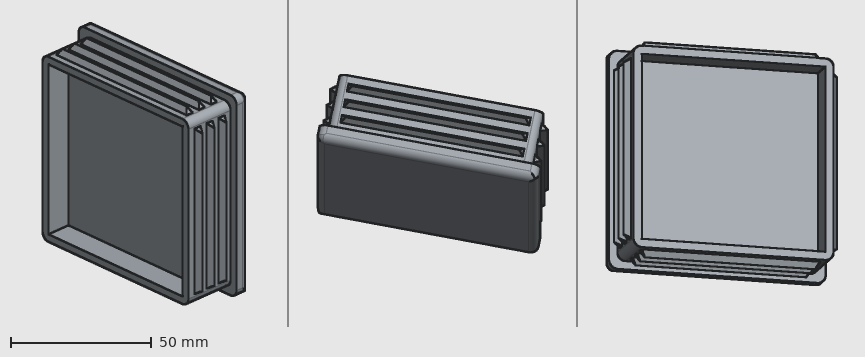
import cadquery as cq

cap_side = 80.0
total_depth = 27.0
cap_thickness = 6.0
round_radius = 3.0
corner_ball_radius = 3.1
cap_overhang = 3.0
wall = 3.0
cavity_depth = 10.0

rib_count = 3
rib_length = 66.0
rib_width = 3.0
rib_height = 2.5
rib_end_inset = 1.5
rib_pitch = 6.0
first_rib_gap = 4.5

insert_side = cap_side - 2 * cap_overhang
cavity_side = insert_side - 2 * wall
rib_root = 0.4
cap_underside = total_depth - cap_thickness


def square_block(side, y_start, y_end):
    """Square block centred on the Y axis, from y_start to y_end."""
    depth = y_end - y_start
    return cq.Workplane("XY").box(side, depth, side).translate((0, y_start + depth / 2, 0))


def make_cap():
    """Cap whose rounded edges meet in mitres, with each outer corner trimmed to a sphere."""
    block = square_block(cap_side, cap_underside, total_depth)
    mitred_cap = block.faces(">Y").edges().fillet(round_radius)
    cap = mitred_cap.intersect(block.edges("|Y").fillet(round_radius))

    centre_offset = cap_side / 2 - round_radius
    corner_centre = (centre_offset, total_depth - round_radius, centre_offset)
    corner_box = cq.Workplane("XY").box(round_radius, round_radius, round_radius, centered=False)
    corner_ball = cq.Workplane("XY").sphere(corner_ball_radius)
    corner_waste = corner_box.cut(corner_ball).translate(corner_centre)
    for quarter_turn in range(4):
        cap = cap.cut(corner_waste.rotate((0, 0, 0), (0, 1, 0), 90 * quarter_turn))
    return cap


def make_insert():
    return square_block(insert_side, 0, total_depth - round_radius).edges("|Y").fillet(round_radius)


def make_rib(y_ridge):
    """Rib on the +Z side of the insert, running along X."""
    base_z = insert_side / 2
    half_width = rib_width / 2
    half_length = rib_length / 2
    wedge = (
        cq.Workplane("YZ", origin=(-half_length, y_ridge, base_z))
        .moveTo(-half_width, -rib_root)
        .lineTo(-half_width, 0)
        .lineTo(0, rib_height)
        .lineTo(half_width, 0)
        .lineTo(half_width, -rib_root)
        .close()
        .extrude(rib_length)
    )
    sloped_ends = (
        cq.Workplane("XZ", origin=(0, y_ridge, base_z))
        .moveTo(-half_length, -rib_root)
        .lineTo(-half_length, 0)
        .lineTo(-half_length + rib_end_inset, rib_height)
        .lineTo(half_length - rib_end_inset, rib_height)
        .lineTo(half_length, 0)
        .lineTo(half_length, -rib_root)
        .close()
        .extrude(rib_width, both=True)
    )
    return wedge.intersect(sloped_ends)


plug = make_cap().union(make_insert())

for row in range(rib_count):
    rib = make_rib(cap_underside - first_rib_gap - row * rib_pitch)
    for quarter_turn in range(4):
        plug = plug.union(rib.rotate((0, 0, 0), (0, 1, 0), 90 * quarter_turn))

cavity = square_block(cavity_side, 0, cavity_depth)
result = plug.cut(cavity)